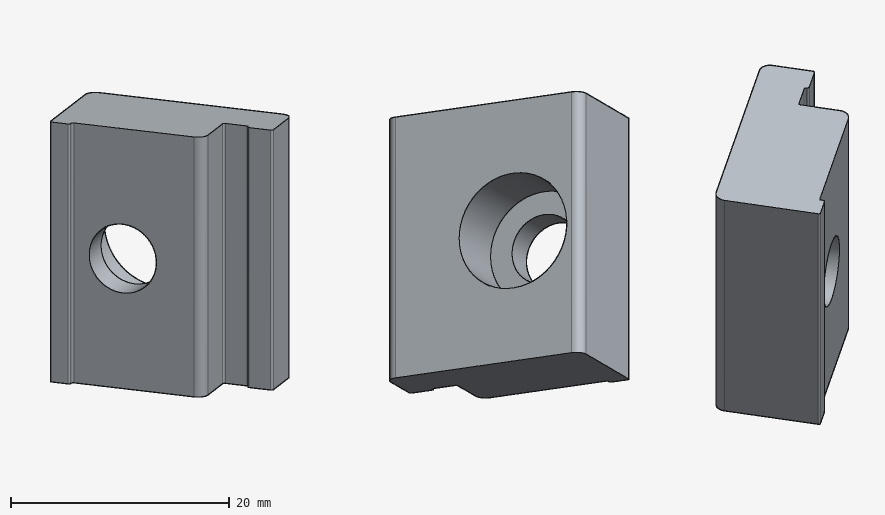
import cadquery as cq

width = 20.0
depth = 10.0
height = 25.0

foot_width = 2.0
foot_height = 0.5
body_width = 15.0
lip_y = 5.0
lip_start_x = 17.5
lip_height = 0.4
ledge_y = lip_y + lip_height

large_radius = 1.0
small_radius = 0.195

hole_x = 7.0
hole_diameter = 6.6
counterbore_diameter = 11.0
counterbore_depth = 6.5

large_corners = [(0, depth), (width, depth), (body_width, foot_height)]
small_corners = [
    (0, 0),
    (foot_width, 0),
    (foot_width, foot_height),
    (body_width, ledge_y),
    (lip_start_x, ledge_y),
    (lip_start_x, lip_y),
    (width, lip_y),
]


def make_profile_block():
    """Extrude the sharp-cornered clamp profile along Z."""
    return (
        cq.Workplane("XY")
        .moveTo(0, 0)
        .lineTo(foot_width, 0)
        .lineTo(foot_width, foot_height)
        .lineTo(body_width, foot_height)
        .lineTo(body_width, ledge_y)
        .lineTo(lip_start_x, ledge_y)
        .lineTo(lip_start_x, lip_y)
        .lineTo(width, lip_y)
        .lineTo(width, depth)
        .lineTo(0, depth)
        .close()
        .extrude(height)
    )


def round_corners(body, corners, radius):
    """Round the vertical edges standing on the given profile corners."""
    for x, y in corners:
        edge_middle = (x, y, height / 2)
        body = body.edges(cq.selectors.NearestToPointSelector(edge_middle)).fillet(radius)
    return body


def drill_screw_hole(body):
    """Drill through along Y, with the counterbore in the back face."""
    back_plane = cq.Plane(origin=(hole_x, depth, height / 2), xDir=(1, 0, 0), normal=(0, -1, 0))
    back = cq.Workplane(back_plane)
    hole = back.circle(hole_diameter / 2).extrude(depth)
    counterbore = back.circle(counterbore_diameter / 2).extrude(counterbore_depth)
    return body.cut(hole).cut(counterbore)


block = make_profile_block()
block = round_corners(block, large_corners, large_radius)
block = round_corners(block, small_corners, small_radius)
result = drill_screw_hole(block)